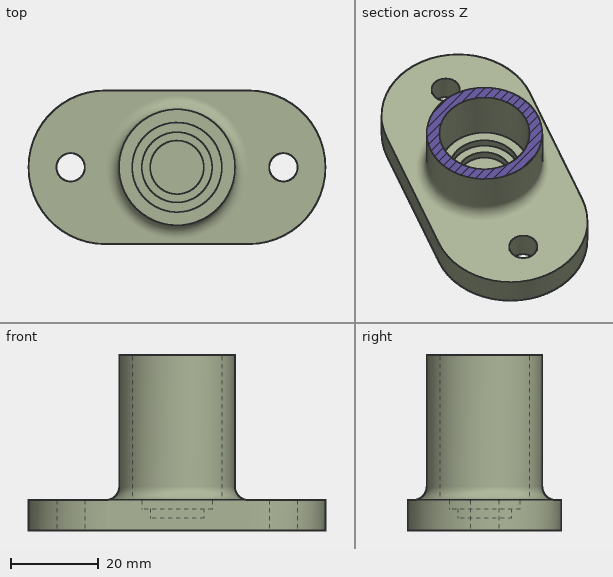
import cadquery as cq

flange_length = 67.6
flange_width = 35.0
flange_thickness = 7.0
bolt_hole_diameter = 6.4
bolt_hole_spacing = 48.4

total_height = 40.0
tube_diameter = 26.4
tube_wall = 3.0
root_fillet_radius = 3.0

bore_diameter = tube_diameter - 2 * tube_wall
middle_step_diameter = 16.0
lower_step_diameter = 12.2
floor_thickness = 3.0
step_height = 2.0
middle_step_floor = floor_thickness + step_height
bore_floor = middle_step_floor + step_height


def make_flange():
    """Plate with rounded ends, long side along X."""
    return cq.Workplane("XY").slot2D(flange_length, flange_width).extrude(flange_thickness)


def add_tube(body):
    """Add the round post and the fillet where it meets the flange."""
    post = cq.Workplane("XY").circle(tube_diameter / 2).extrude(total_height)
    half_edge_box = (tube_diameter + root_fillet_radius) / 2
    edge_band = root_fillet_radius / 2
    root_edges = cq.selectors.BoxSelector(
        (-half_edge_box, -half_edge_box, flange_thickness - edge_band),
        (half_edge_box, half_edge_box, flange_thickness + edge_band),
        boundingbox=True,
    )
    return body.union(post).edges(root_edges).fillet(root_fillet_radius)


def cut_bore(body):
    """Cut each diameter of the stepped bore from the top down to its own floor."""
    steps = (
        (bore_diameter, bore_floor),
        (middle_step_diameter, middle_step_floor),
        (lower_step_diameter, floor_thickness),
    )
    for diameter, floor_z in steps:
        cutter = cq.Workplane("XY").workplane(offset=floor_z).circle(diameter / 2)
        body = body.cut(cutter.extrude(total_height - floor_z))
    return body


def cut_bolt_holes(body):
    """Cut the two through holes, one on each side of the tube."""
    half_spacing = bolt_hole_spacing / 2
    holes = (
        cq.Workplane("XY")
        .pushPoints([(-half_spacing, 0), (half_spacing, 0)])
        .circle(bolt_hole_diameter / 2)
        .extrude(flange_thickness)
    )
    return body.cut(holes)


flanged_tube = add_tube(make_flange())
bored_tube = cut_bore(flanged_tube)
result = cut_bolt_holes(bored_tube)